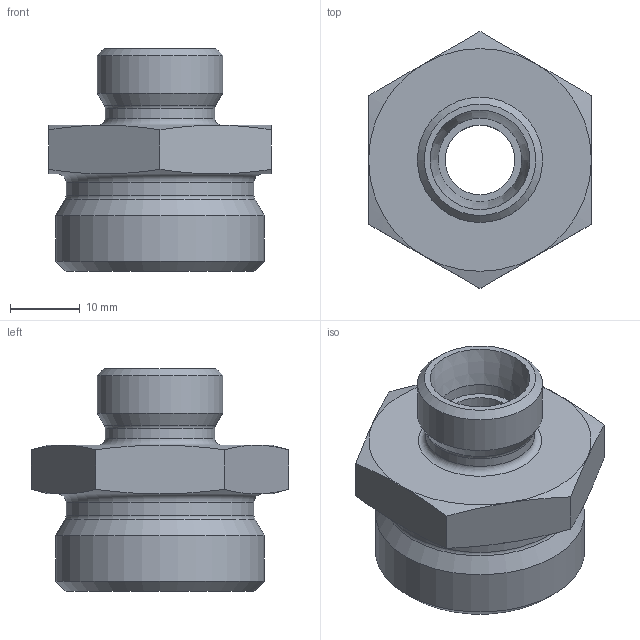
import math

import cadquery as cq

TOTAL_HEIGHT = 32.0
HEX_BOTTOM = 14.0
HEX_TOP = 21.0
FULL_TURN = 360.0

HEX_ACROSS_FLATS = 32.0
HEX_SIDES = 6
HEX_HALF_SIDE_ANGLE = 180.0 / HEX_SIDES
HEX_CHAMFER_ANGLE = 15.0

LOWER_THREAD_RADIUS = 30.0 / 2
LOWER_GROOVE_RADIUS = 27.0 / 2
LOWER_TIP_RADIUS = LOWER_GROOVE_RADIUS
LOWER_THREAD_TOP = 8.0
LOWER_CHAMFER_HEIGHT = 1.45
LOWER_SHOULDER_FILLET = 1.2

UPPER_THREAD_RADIUS = 18.0 / 2
UPPER_GROOVE_RADIUS = 15.7 / 2
UPPER_THREAD_BOTTOM = 25.6
UPPER_CHAMFER = 1.0
UPPER_TIP_RADIUS = UPPER_THREAD_RADIUS - UPPER_CHAMFER
UPPER_SHOULDER_FILLET = 1.0

RUNOUT_ANGLE = 30.0
RUNOUT_BLEND = 1.0

SEAT_MOUTH_RADIUS = 14.3 / 2
SOCKET_RADIUS = 12.0 / 2
SOCKET_DEPTH = 7.0
THROUGH_RADIUS = 10.0 / 2
SEAT_HALF_ANGLE = 12.0


def blended_runout(thread_radius, groove_radius, thread_end, direction):
    """Points of a run-out cone: cone end, arc middle and groove start, going away from the thread."""
    angle = math.radians(RUNOUT_ANGLE)
    cone_height = (thread_radius - groove_radius) / math.tan(angle)
    tangent = RUNOUT_BLEND * math.tan(angle / 2)
    corner = thread_end + direction * cone_height
    groove_start = corner + direction * tangent
    cone_end = (
        groove_radius + tangent * math.sin(angle),
        corner - direction * tangent * math.cos(angle),
    )
    arc_middle = (
        groove_radius + RUNOUT_BLEND * (1 - math.cos(angle / 2)),
        groove_start - direction * RUNOUT_BLEND * math.sin(angle / 2),
    )
    return cone_end, arc_middle, (groove_radius, groove_start)


def shoulder_fillet(groove_radius, fillet, hex_face, direction):
    """Points of the quarter-round at the hexagon: groove end, arc middle and end on the hexagon face."""
    arc_inset = fillet * (1 - math.sqrt(0.5))
    groove_end = (groove_radius, hex_face - direction * fillet)
    arc_middle = (groove_radius + arc_inset, hex_face - direction * arc_inset)
    face_end = (groove_radius + fillet, hex_face)
    return groove_end, arc_middle, face_end


def threaded_end(thread_radius, groove_radius, tip_radius, free_end, chamfer_height,
                 thread_end, fillet, hex_face, direction):
    """Solid of revolution from the free end to the hexagon; direction is +1 when that is upward."""
    cone_end, blend_middle, groove_start = blended_runout(
        thread_radius, groove_radius, thread_end, direction)
    groove_end, fillet_middle, face_end = shoulder_fillet(groove_radius, fillet, hex_face, direction)
    return (
        cq.Workplane("XZ")
        .moveTo(0, free_end)
        .lineTo(tip_radius, free_end)
        .lineTo(thread_radius, free_end + direction * chamfer_height)
        .lineTo(thread_radius, thread_end)
        .lineTo(*cone_end)
        .threePointArc(blend_middle, groove_start)
        .lineTo(*groove_end)
        .threePointArc(fillet_middle, face_end)
        .lineTo(0, hex_face)
        .close()
        .revolve(FULL_TURN, (0, 0), (0, 1))
    )


def hexagon():
    """Hexagonal collar whose corners are turned down conically on both faces."""
    flat_radius = HEX_ACROSS_FLATS / 2
    corner_radius = flat_radius / math.cos(math.radians(HEX_HALF_SIDE_ANGLE))
    chamfer_drop = (corner_radius - flat_radius) * math.tan(math.radians(HEX_CHAMFER_ANGLE))
    prism = (
        cq.Workplane("XY")
        .workplane(offset=HEX_BOTTOM)
        .polygon(HEX_SIDES, 2 * corner_radius)
        .extrude(HEX_TOP - HEX_BOTTOM)
        .rotate((0, 0, 0), (0, 0, 1), HEX_HALF_SIDE_ANGLE)
    )
    turned_blank = (
        cq.Workplane("XZ")
        .moveTo(0, HEX_BOTTOM)
        .lineTo(flat_radius, HEX_BOTTOM)
        .lineTo(corner_radius, HEX_BOTTOM + chamfer_drop)
        .lineTo(corner_radius, HEX_TOP - chamfer_drop)
        .lineTo(flat_radius, HEX_TOP)
        .lineTo(0, HEX_TOP)
        .close()
        .revolve(FULL_TURN, (0, 0), (0, 1))
    )
    return prism.intersect(turned_blank)


def bore():
    """Through hole opening into a tube socket and a conical seat at the top."""
    seat_depth = (SEAT_MOUTH_RADIUS - SOCKET_RADIUS) / math.tan(math.radians(SEAT_HALF_ANGLE))
    socket_floor = TOTAL_HEIGHT - SOCKET_DEPTH
    return (
        cq.Workplane("XZ")
        .lineTo(THROUGH_RADIUS, 0)
        .lineTo(THROUGH_RADIUS, socket_floor)
        .lineTo(SOCKET_RADIUS, socket_floor)
        .lineTo(SOCKET_RADIUS, TOTAL_HEIGHT - seat_depth)
        .lineTo(SEAT_MOUTH_RADIUS, TOTAL_HEIGHT)
        .lineTo(0, TOTAL_HEIGHT)
        .close()
        .revolve(FULL_TURN, (0, 0), (0, 1))
    )


lower_end = threaded_end(LOWER_THREAD_RADIUS, LOWER_GROOVE_RADIUS, LOWER_TIP_RADIUS,
                         0, LOWER_CHAMFER_HEIGHT, LOWER_THREAD_TOP,
                         LOWER_SHOULDER_FILLET, HEX_BOTTOM, 1)
upper_end = threaded_end(UPPER_THREAD_RADIUS, UPPER_GROOVE_RADIUS, UPPER_TIP_RADIUS,
                         TOTAL_HEIGHT, UPPER_CHAMFER, UPPER_THREAD_BOTTOM,
                         UPPER_SHOULDER_FILLET, HEX_TOP, -1)

result = hexagon().union(lower_end).union(upper_end).cut(bore())